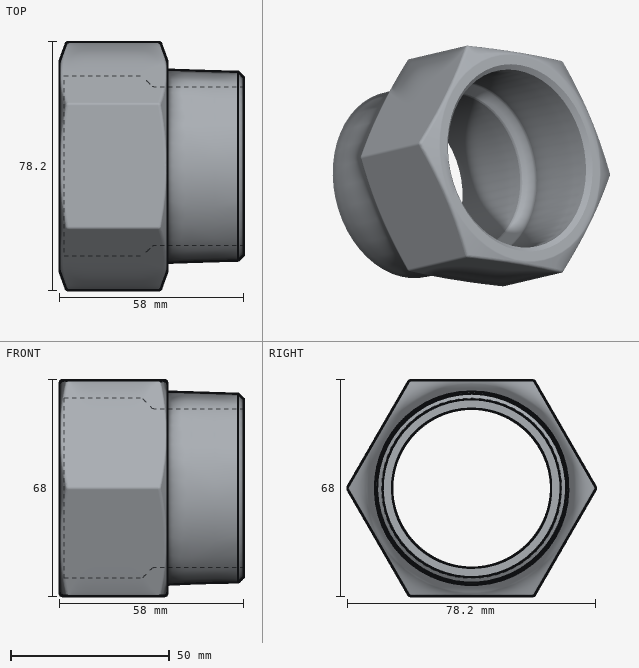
import cadquery as cq
import math

total_length = 58.0
hex_length = 34.0
across_flats = 68.0
edge_round = 1.0

end_face_diameter = 66.0
hex_chamfer_angle = 20.0

taper = 1 / 16
shank_root_diameter = 60.88
shank_land = 0.25
shank_chamfer = 1.75
shank_end_diameter = 56.0

socket_mouth_diameter = 59.6
socket_diameter = 56.66
socket_depth = 26.0
bore_diameter = 50.0
mouth_chamfer_angle = 45.0
socket_floor_angle = 45.0
floor_round = 1.0

across_corners = across_flats / math.cos(math.pi / 6)


def revolve_profile(points):
    """Revolve a closed (x, radius) outline about the X axis."""
    return cq.Workplane("XZ").polyline(points).close().revolve(360, (0, 0, 0), (1, 0, 0))


def make_hexagon():
    """Hexagonal nut body, cone-chamfered at both ends, with every edge rounded."""
    prism = cq.Workplane("YZ").polygon(6, across_corners).extrude(hex_length)
    prism = prism.edges("|X").fillet(edge_round)
    face_radius = end_face_diameter / 2
    cone_radius = across_corners / 2 + edge_round
    cone_length = (cone_radius - face_radius) * math.tan(math.radians(hex_chamfer_angle))
    envelope = revolve_profile([
        (0, 0),
        (0, face_radius),
        (cone_length, cone_radius),
        (hex_length - cone_length, cone_radius),
        (hex_length, face_radius),
        (hex_length, 0),
    ])
    body = prism.intersect(envelope)
    return body.edges("not |X").fillet(edge_round)


def make_shank():
    """Tapered spigot with a short straight land at the hexagon and a chamfered free end."""
    chamfer_start = total_length - shank_chamfer
    taper_start = hex_length + shank_land
    taper_length = chamfer_start - taper_start
    tip_radius = (shank_root_diameter - taper * taper_length) / 2
    root_radius = shank_root_diameter / 2
    return revolve_profile([
        (hex_length / 2, 0),
        (hex_length / 2, root_radius),
        (taper_start, root_radius),
        (chamfer_start, tip_radius),
        (total_length, shank_end_diameter / 2),
        (total_length, 0),
    ])


def make_bore():
    """Cutter for the chamfered socket, its conical floor and the through bore."""
    mouth_radius = socket_mouth_diameter / 2
    socket_radius = socket_diameter / 2
    bore_radius = bore_diameter / 2
    mouth_length = (mouth_radius - socket_radius) / math.tan(math.radians(mouth_chamfer_angle))
    floor_length = (socket_radius - bore_radius) / math.tan(math.radians(socket_floor_angle))
    bore = revolve_profile([
        (0, 0),
        (0, mouth_radius),
        (mouth_length, socket_radius),
        (socket_depth, socket_radius),
        (socket_depth + floor_length, bore_radius),
        (total_length, bore_radius),
        (total_length, 0),
    ])
    near_floor = cq.selectors.BoxSelector(
        (socket_depth - floor_round, -across_flats, -across_flats),
        (socket_depth + floor_length + floor_round, across_flats, across_flats),
        boundingbox=False,
    )
    floor_edges = bore.edges("%CIRCLE").edges(near_floor)
    return floor_edges.fillet(floor_round)


result = make_hexagon().union(make_shank()).cut(make_bore())